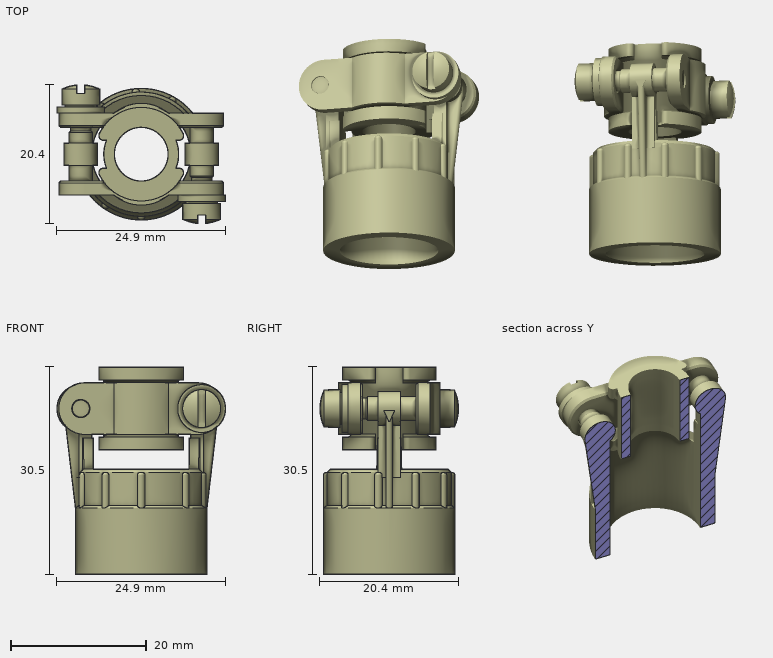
import cadquery as cq
import math

SLEEVE_R = 9.7
SLEEVE_H = 9.75
SHOULDER_H = 0.4
GRIP_R = 9.15
GRIP_TOP = 15.5
GRIP_CHAMFER = 0.5
NUT_BORE_R = 7.27

RIB_COUNT = 10
RIB_PITCH = 35
RIB_FIRST_ANGLE = -90
RIB_R = 0.58
RIB_TOP = GRIP_TOP - GRIP_CHAMFER
RIB_ROUND = 0.42

BUSH_BOTTOM = 18.3
BUSH_TOP = 30.5
BUSH_R = 5.53
BUSH_BORE_R = 3.94
FLANGE_R = 6.89
FLANGE_T = 1.9
FLANGE_ROOT_CHAMFER = 0.42
NOTCH_HALF_WIDTH = 2.04
NOTCH_CORNER_R = 0.7

CLAMP_Z = (BUSH_BOTTOM + BUSH_TOP) / 2
STRAP_HALF_H = 3.81
STRAP_END_X = 8.33
STRAP_INNER_Y = 3.94
STRAP_OUTER_Y = 6.04
STRAP_CHAMFER = 0.28
BULGE_Y = 7.5
BULGE_FOOT_X = 4.04
BULGE_ARC_X = 3.72
BULGE_ARC_Y = 6.25

SCREW_X = 8.9
WASHER_R = 3.525
WASHER_OUTER_Y = 6.98
NECK_R = 2.35
HEAD_INNER_Y = 7.23
HEAD_R = 2.8
HEAD_EDGE_Y = 9.58
HEAD_CROWN_Y = 10.24
SLOT_WIDTH = 1.15
SLOT_FLOOR_Y = 8.97
SHANK_R = 1.53
PIN_R = 1.75
PIN_START_Y = 3.4
PIN_CHAMFER = PIN_R - SHANK_R
CLEARANCE_HOLE_R = 1.75
TIP_HOLE_R = 1.34
TIP_R = 1.26
TIP_GAP_DEPTH = 0.3
TIP_RECESS = 0.2

EYE_R = 2.49
ARM_HALF_WIDTH = 1.64
POST_OUTER_X = 9.15
POST_INNER_X = 7.27
POST_BOTTOM = 14.23
FOOT_TOP = 20.03
FOOT_OUTER_X = 8.64
FOOT_FLARE_TOP = 0.1
FOOT_FLARE_BOTTOM = 0.24
WEB_HALF_WIDTH = 0.5
WEB_ROOT_R = 0.33
WEB_BOTTOM_X = 9.7
WEB_TOP = 24.1
WEB_EDGE_R = 0.45
WEB_TOP_X = SCREW_X + EYE_R
FLARE_BOTTOM = 22.35
FLARE_HALF_WIDTH = 0.8


def cylinder(radius, bottom, top):
    """Upright cylinder on the main axis."""
    return cq.Workplane("XY").workplane(offset=bottom).circle(radius).extrude(top - bottom)


def cross_cylinder(radius, y_start, y_end, x=SCREW_X):
    """Cylinder along Y on a screw axis."""
    plane = cq.Workplane("XZ", origin=(x, y_start, CLAMP_Z))
    return plane.circle(radius).extrude(y_start - y_end)


def mirrored_in_x(body):
    return body.union(body.mirror("YZ"))


def turned_half(body):
    """Copy of a body turned half a turn about the main axis."""
    return body.rotate((0, 0, 0), (0, 0, 1), 180)


def make_nut():
    shoulder_top = SLEEVE_H + SHOULDER_H
    profile = [
        (NUT_BORE_R, 0),
        (SLEEVE_R, 0),
        (SLEEVE_R, SLEEVE_H),
        (GRIP_R, shoulder_top),
        (GRIP_R, GRIP_TOP - GRIP_CHAMFER),
        (GRIP_R - GRIP_CHAMFER, GRIP_TOP),
        (NUT_BORE_R, GRIP_TOP),
    ]
    nut = cq.Workplane("XZ").polyline(profile).close().revolve(360, (0, 0), (0, 1))
    rib_circle_r = SLEEVE_R - RIB_R
    rib = cylinder(RIB_R, SLEEVE_H, RIB_TOP).faces(">Z").fillet(RIB_ROUND)
    rib = rib.translate((rib_circle_r, 0, 0))
    for i in range(RIB_COUNT):
        angle = RIB_FIRST_ANGLE - i * RIB_PITCH
        nut = nut.union(rib.rotate((0, 0, 0), (0, 0, 1), angle))
    return nut


def make_flange_notch(bottom, height):
    """Cutter for one flange notch on the +X side, rounding the horns beside it."""
    outside = 2 * FLANGE_R
    cutter = (
        cq.Workplane("XY")
        .workplane(offset=bottom)
        .center(outside / 2, 0)
        .rect(outside, 2 * NOTCH_HALF_WIDTH)
        .extrude(height)
    )
    round_y = NOTCH_HALF_WIDTH + NOTCH_CORNER_R
    round_path_r = FLANGE_R - NOTCH_CORNER_R
    round_x = math.sqrt(round_path_r**2 - round_y**2)
    rim_scale = FLANGE_R / round_path_r
    half_angle = math.atan2(round_y, round_x) / 2
    mid = (
        round_x + NOTCH_CORNER_R * math.cos(half_angle - math.pi / 4),
        round_y + NOTCH_CORNER_R * math.sin(half_angle - math.pi / 4),
    )
    horn = (
        cq.Workplane("XY")
        .workplane(offset=bottom)
        .moveTo(round_x, NOTCH_HALF_WIDTH)
        .threePointArc(mid, (round_x * rim_scale, round_y * rim_scale))
        .lineTo(outside, round_y * rim_scale)
        .lineTo(outside, NOTCH_HALF_WIDTH)
        .close()
        .extrude(height)
    )
    cutter = cutter.union(horn).union(horn.mirror("XZ"))
    return cutter.cut(cylinder(BUSH_R, bottom, bottom + height))


def make_flange():
    """Upper flange with the cone that joins it to the tube."""
    underside = BUSH_TOP - FLANGE_T
    cone_bottom = underside - FLANGE_ROOT_CHAMFER
    profile = [
        (0, cone_bottom),
        (BUSH_R, cone_bottom),
        (BUSH_R + FLANGE_ROOT_CHAMFER, underside),
        (FLANGE_R, underside),
        (FLANGE_R, BUSH_TOP),
        (0, BUSH_TOP),
    ]
    flange = cq.Workplane("XZ").polyline(profile).close().revolve(360, (0, 0), (0, 1))
    notch = make_flange_notch(cone_bottom, BUSH_TOP - cone_bottom)
    return flange.cut(mirrored_in_x(notch))


def make_bush():
    flange = make_flange()
    tube = cylinder(BUSH_R, BUSH_BOTTOM, BUSH_TOP)
    lower_flange = flange.mirror("XY", (0, 0, CLAMP_Z))
    return tube.union(flange).union(lower_flange)


def make_strap():
    """Strap on the -Y side, with the screw head at its +X end."""
    plate = (
        cq.Workplane("XZ", origin=(0, -STRAP_INNER_Y, CLAMP_Z))
        .slot2D(2 * (STRAP_END_X + STRAP_HALF_H), 2 * STRAP_HALF_H)
        .extrude(STRAP_OUTER_Y - STRAP_INNER_Y)
        .faces(">Y")
        .chamfer(STRAP_CHAMFER)
    )
    bulge = (
        cq.Workplane("XY", origin=(0, 0, CLAMP_Z - STRAP_HALF_H))
        .moveTo(-BULGE_FOOT_X, -STRAP_INNER_Y - STRAP_CHAMFER)
        .lineTo(-BULGE_FOOT_X, -STRAP_OUTER_Y)
        .lineTo(-BULGE_ARC_X, -BULGE_ARC_Y)
        .threePointArc((0, -BULGE_Y), (BULGE_ARC_X, -BULGE_ARC_Y))
        .lineTo(BULGE_FOOT_X, -STRAP_OUTER_Y)
        .lineTo(BULGE_FOOT_X, -STRAP_INNER_Y - STRAP_CHAMFER)
        .close()
        .extrude(2 * STRAP_HALF_H)
    )
    clearance_hole = cross_cylinder(CLEARANCE_HOLE_R, -STRAP_OUTER_Y, -STRAP_INNER_Y)
    gap_floor_y = TIP_GAP_DEPTH - STRAP_OUTER_Y
    tip_hole = cross_cylinder(TIP_HOLE_R, -STRAP_OUTER_Y, gap_floor_y, -SCREW_X)
    tip = cross_cylinder(TIP_R, TIP_RECESS - STRAP_OUTER_Y, gap_floor_y, -SCREW_X)
    return plate.union(bulge).cut(clearance_hole).cut(tip_hole.cut(tip))


def make_screw():
    """Screw and washer at +X, with the head on the -Y side."""
    washer = cross_cylinder(WASHER_R, -WASHER_OUTER_Y, -STRAP_OUTER_Y)
    neck = cross_cylinder(NECK_R, -HEAD_INNER_Y, -WASHER_OUTER_Y)
    shank = cross_cylinder(SHANK_R, -STRAP_OUTER_Y, -PIN_START_Y)
    pin = cross_cylinder(PIN_R, -PIN_START_Y, STRAP_INNER_Y).faces("<Y").chamfer(PIN_CHAMFER)

    crown_h = HEAD_CROWN_Y - HEAD_EDGE_Y
    crown_r = (HEAD_R**2 + crown_h**2) / (2 * crown_h)
    crown_ball = cq.Workplane("XY").sphere(crown_r)
    crown_ball = crown_ball.translate((SCREW_X, crown_r - HEAD_CROWN_Y, CLAMP_Z))
    head = cross_cylinder(HEAD_R, -HEAD_CROWN_Y, -HEAD_INNER_Y).intersect(crown_ball)
    slot = (
        cq.Workplane("XZ", origin=(SCREW_X, -SLOT_FLOOR_Y, CLAMP_Z))
        .rect(SLOT_WIDTH, 2 * HEAD_R)
        .extrude(HEAD_CROWN_Y - SLOT_FLOOR_Y)
    )
    return washer.union(neck).union(shank).union(pin).union(head.cut(slot))


def make_foot():
    """Block inside the nut that carries the post, widening downwards."""

    def outline(plane, flare):
        wide = ARM_HALF_WIDTH + flare
        return plane.polyline(
            [
                (0, -wide),
                (FOOT_OUTER_X - flare, -wide),
                (FOOT_OUTER_X, -ARM_HALF_WIDTH),
                (FOOT_OUTER_X, ARM_HALF_WIDTH),
                (FOOT_OUTER_X - flare, wide),
                (0, wide),
            ]
        ).close()

    lower = outline(cq.Workplane("XY", origin=(0, 0, POST_BOTTOM)), FOOT_FLARE_BOTTOM)
    upper = outline(lower.workplane(offset=FOOT_TOP - POST_BOTTOM), FOOT_FLARE_TOP)
    block = upper.loft(ruled=True)
    return block.cut(cylinder(NUT_BORE_R, POST_BOTTOM, FOOT_TOP))


def make_web_profile(half_width):
    """Slab between the post and the sloping outer line of the web."""
    root_x = GRIP_R - RIB_R
    return (
        cq.Workplane("XZ", origin=(0, half_width, 0))
        .moveTo(root_x, SLEEVE_H)
        .lineTo(WEB_BOTTOM_X, SLEEVE_H)
        .lineTo(WEB_TOP_X, WEB_TOP)
        .lineTo(root_x, WEB_TOP)
        .close()
        .extrude(2 * half_width)
    )


def make_web():
    """Sloping web on the outside of the post, flared where it meets the eye."""
    slope = math.atan2(WEB_TOP_X - WEB_BOTTOM_X, WEB_TOP - SLEEVE_H)
    bar_depth = 2 * EYE_R
    bar = (
        cq.Workplane("XY")
        .center(-bar_depth / 2, 0)
        .rect(bar_depth, 2 * WEB_HALF_WIDTH)
        .extrude(BUSH_TOP, both=True)
        .faces(">X")
        .edges("|Z")
        .fillet(WEB_EDGE_R)
        .rotate((0, 0, 0), (0, 1, 0), math.degrees(slope))
        .translate((WEB_BOTTOM_X, 0, SLEEVE_H))
    )
    flare = (
        cq.Workplane("YZ", origin=(SCREW_X, 0, 0))
        .moveTo(0, FLARE_BOTTOM)
        .lineTo(FLARE_HALF_WIDTH, WEB_TOP)
        .lineTo(-FLARE_HALF_WIDTH, WEB_TOP)
        .close()
        .extrude(EYE_R)
        .intersect(make_web_profile(FLARE_HALF_WIDTH))
    )
    return make_web_profile(WEB_HALF_WIDTH).intersect(bar).union(flare)


def make_web_root():
    """Concave round between the web and the post face."""
    tip_x = POST_OUTER_X + WEB_ROOT_R
    tip_y = WEB_HALF_WIDTH + WEB_ROOT_R
    sagitta = WEB_ROOT_R * math.sqrt(0.5)
    return (
        cq.Workplane("XY", origin=(0, 0, POST_BOTTOM))
        .moveTo(POST_OUTER_X, 0)
        .lineTo(tip_x, 0)
        .lineTo(tip_x, WEB_HALF_WIDTH)
        .threePointArc((tip_x - sagitta, tip_y - sagitta), (POST_OUTER_X, tip_y))
        .close()
        .extrude(CLAMP_Z - POST_BOTTOM)
    )


def make_arm():
    """Post, eye and web on the +X side."""
    eye = cross_cylinder(EYE_R, -ARM_HALF_WIDTH, ARM_HALF_WIDTH)
    post = (
        cq.Workplane("XY", origin=((POST_OUTER_X + POST_INNER_X) / 2, 0, POST_BOTTOM))
        .rect(POST_OUTER_X - POST_INNER_X, 2 * ARM_HALF_WIDTH)
        .extrude(CLAMP_Z - POST_BOTTOM)
    )
    root = make_web_root()
    arm = eye.union(post).union(make_foot()).union(make_web())
    return arm.union(root).union(root.mirror("XZ"))


strap = make_strap()
screw = make_screw()
bush_bore = cylinder(BUSH_BORE_R, BUSH_BOTTOM, BUSH_TOP)

clamp = make_bush().union(strap).union(turned_half(strap)).cut(bush_bore)
result = (
    make_nut()
    .union(mirrored_in_x(make_arm()))
    .union(clamp)
    .union(screw)
    .union(turned_half(screw))
)